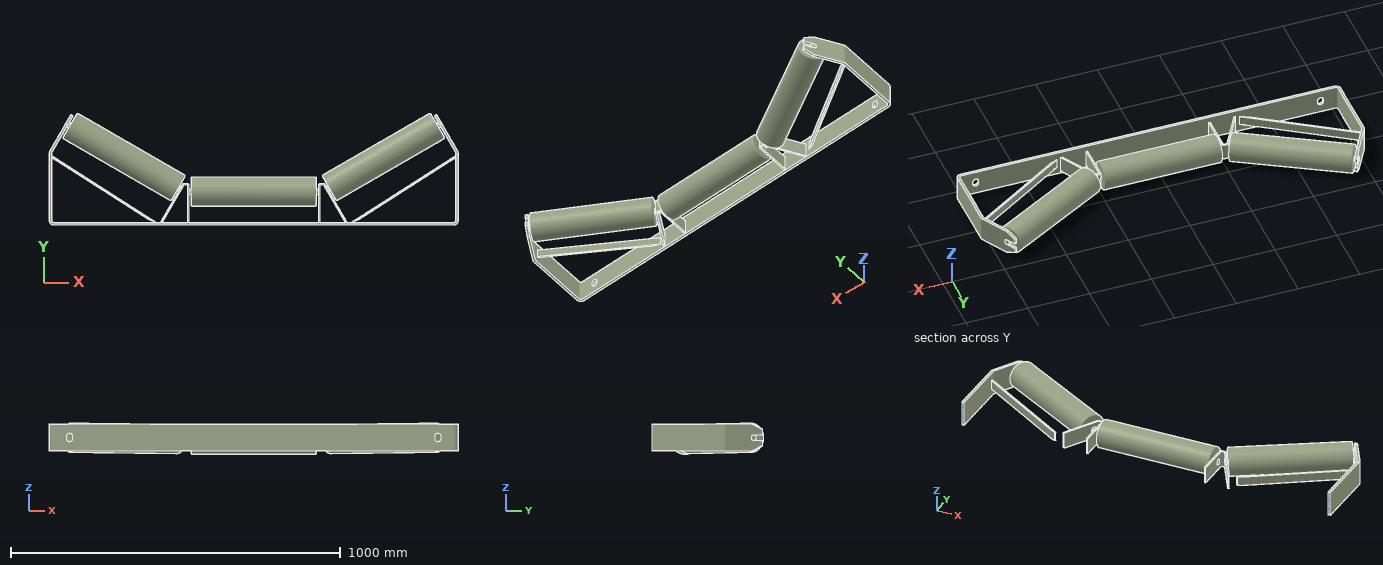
import math

import cadquery as cq

FRAME_LENGTH = 1240.0
FRAME_WIDTH = 80.0
FRAME_THICK = 8.0
FRAME_BEND = 15.0
ARM_BEND = 16.0
WALL_HEIGHT = 222.0
ARM_LENGTH = 131.0
ARM_TAPER_LENGTH = 32.0
ARM_TAPER_WIDTH = 15.0
MOUNT_HOLE_X = 558.0
MOUNT_HOLE_WIDTH = 19.0
MOUNT_HOLE_HEIGHT = 26.0

TILT = 30.0
ROLLER_LENGTH = 380.0
ROLLER_RADIUS = 45.0
ROLLER_EDGE = 4.0
SHAFT_RADIUS = 9.0
CENTER_ROLLER_Y = 102.0
CENTER_ROLLER_Z = -7.0
WING_X = 393.0
WING_Y = 207.0
WING_Z = -2.9
WING_DIP = 0.6
CENTER_GAP = 6.0
INNER_GAP = 5.0

BRACKET_THICK = 5.0
BRACKET_WIDTH = 53.0
BRACKET_BEND = 6.0
BRACKET_TOP = 126.0

BRACE_DROP = 6.0
BRACE_WIDTH = 30.0
BRACE_WALL_Y = 205.0
BRACE_TIP_X = 295.0
BRACE_BEVEL_RUN = 25.0

HALF_LENGTH = FRAME_LENGTH / 2
SIDES = (-1, 1)
COS = math.cos(math.radians(TILT))
SIN = math.sin(math.radians(TILT))
OUTER_GAP = (
    (HALF_LENGTH - WING_X) * COS + (WALL_HEIGHT - WING_Y) * SIN - FRAME_THICK - ROLLER_LENGTH / 2
)


def plate(points, width, z=0.0):
    """Prism centred on height z, standing on an XY outline."""
    return cq.Workplane("XY", origin=(0, 0, z - width / 2)).polyline(points).close().extrude(width)


def turned(radius, start, end):
    """Cylinder on the X axis between two stations."""
    return cq.Workplane("YZ", origin=(start, 0, 0)).circle(radius).extrude(end - start)


def on_wing(body):
    """Move a body from the X axis onto the right-hand wing roller axis (outer end at +X)."""
    dipped = body.rotate((0, 0, 0), (0, 1, 0), -WING_DIP)
    return dipped.rotate((0, 0, 0), (0, 0, 1), TILT).translate((WING_X, WING_Y, WING_Z))


def on_side(body, side):
    """Leave a right-hand body in place or mirror it to the left."""
    return body if side > 0 else body.mirror("YZ")


def make_roller(left_gap, left_plate, right_gap, right_plate):
    """Drum with rounded ends and a shaft that reaches through the plates at both ends."""
    half = ROLLER_LENGTH / 2
    roller = turned(ROLLER_RADIUS, -half, half).edges("%CIRCLE").fillet(ROLLER_EDGE)
    shaft = turned(SHAFT_RADIUS, -half - left_gap - left_plate, half + right_gap + right_plate)
    return roller.union(shaft)


def make_arm_tapers(end_x, end_y):
    """Wedges that cut both corners off the free end of the right-hand arm."""
    half = FRAME_WIDTH / 2
    arm_face = cq.Plane((end_x, end_y, 0), xDir=(SIN, -COS, 0), normal=(COS, SIN, 0))
    upper = (
        cq.Workplane(arm_face)
        .polyline([(0, half), (ARM_TAPER_LENGTH, half), (0, half - ARM_TAPER_WIDTH)])
        .close()
        .extrude(-FRAME_THICK)
    )
    return upper.union(upper.mirror("XY"))


def make_shaft_slot():
    """Round-bottomed slot, open at the free end of the arm, for a shaft on the X axis."""
    arm_inner = ROLLER_LENGTH / 2 + OUTER_GAP
    start = arm_inner - OUTER_GAP / 2
    depth = FRAME_THICK + OUTER_GAP
    bottom = turned(SHAFT_RADIUS, start, start + depth)
    opening = cq.Workplane("XY", origin=(start, 0, 0)).box(
        depth, ARM_LENGTH, 2 * SHAFT_RADIUS, centered=(False, False, True)
    )
    return bottom.union(opening)


def make_frame():
    arm_end_x = HALF_LENGTH - ARM_LENGTH * SIN
    arm_end_y = WALL_HEIGHT + ARM_LENGTH * COS
    inner_x = HALF_LENGTH - FRAME_THICK
    inner_bend_y = WALL_HEIGHT - FRAME_THICK * math.tan(math.radians(TILT / 2))
    right = [
        (HALF_LENGTH, 0),
        (HALF_LENGTH, WALL_HEIGHT),
        (arm_end_x, arm_end_y),
        (arm_end_x - FRAME_THICK * COS, arm_end_y - FRAME_THICK * SIN),
        (inner_x, inner_bend_y),
        (inner_x, FRAME_THICK),
    ]
    left = [(-x, y) for x, y in reversed(right)]
    frame = plate(right + left, FRAME_WIDTH)

    for side in SIDES:
        for x, y, radius in (
            (HALF_LENGTH, 0, FRAME_BEND),
            (HALF_LENGTH, WALL_HEIGHT, ARM_BEND),
            (inner_x, inner_bend_y, ARM_BEND - FRAME_THICK),
            (inner_x, FRAME_THICK, FRAME_BEND - FRAME_THICK),
        ):
            bend = cq.selectors.NearestToPointSelector((side * x, y, 0))
            frame = frame.edges("|Z").edges(bend).fillet(radius)
        frame = frame.cut(on_side(make_arm_tapers(arm_end_x, arm_end_y), side))

    holes = (
        cq.Workplane("XZ")
        .pushPoints([(side * MOUNT_HOLE_X, 0) for side in SIDES])
        .slot2D(MOUNT_HOLE_HEIGHT, MOUNT_HOLE_WIDTH, 90)
        .extrude(-FRAME_THICK)
    )
    frame = frame.cut(holes)

    slot = make_shaft_slot()
    for side in SIDES:
        frame = frame.cut(on_side(on_wing(slot), side))
    return frame


def make_bracket():
    upright_x = ROLLER_LENGTH / 2 + CENTER_GAP
    reach = ROLLER_LENGTH / 2 + INNER_GAP
    face_x = WING_X - reach * COS
    face_y = WING_Y - reach * SIN

    def leg_x(y, back):
        """X of the slanted leg at height y, at depth back behind its roller-side face."""
        return face_x - back / COS - (y - face_y) * SIN / COS

    outline = [
        (upright_x, FRAME_THICK),
        (upright_x, BRACKET_TOP),
        (leg_x(BRACKET_TOP, 0), BRACKET_TOP),
        (leg_x(FRAME_THICK, 0), FRAME_THICK),
        (leg_x(FRAME_THICK, BRACKET_THICK), FRAME_THICK),
        (leg_x(BRACKET_TOP - BRACKET_THICK, BRACKET_THICK), BRACKET_TOP - BRACKET_THICK),
        (upright_x + BRACKET_THICK, BRACKET_TOP - BRACKET_THICK),
        (upright_x + BRACKET_THICK, FRAME_THICK),
    ]
    bracket = plate(outline, BRACKET_WIDTH, CENTER_ROLLER_Z)
    for (x, y), radius in (
        (outline[1], BRACKET_BEND),
        (outline[2], BRACKET_BEND),
        (outline[5], BRACKET_BEND - BRACKET_THICK),
        (outline[6], BRACKET_BEND - BRACKET_THICK),
    ):
        bend = cq.selectors.NearestToPointSelector((x, y, CENTER_ROLLER_Z))
        bracket = bracket.edges("|Z").edges(bend).fillet(radius)
    return bracket


def make_brace():
    wall_x = HALF_LENGTH - FRAME_THICK
    upper_wall_y = BRACE_WALL_Y + BRACE_DROP
    slope = (upper_wall_y - FRAME_THICK) / (wall_x - BRACE_TIP_X)
    outline = [
        (BRACE_TIP_X, FRAME_THICK),
        (wall_x, upper_wall_y),
        (wall_x, BRACE_WALL_Y),
        (BRACE_TIP_X + BRACE_BEVEL_RUN, FRAME_THICK + slope * BRACE_BEVEL_RUN - BRACE_DROP),
    ]
    return plate(outline, BRACE_WIDTH)


center_roller = make_roller(CENTER_GAP, BRACKET_THICK, CENTER_GAP, BRACKET_THICK).translate(
    (0, CENTER_ROLLER_Y, CENTER_ROLLER_Z)
)
wing = on_wing(make_roller(INNER_GAP, BRACKET_THICK, OUTER_GAP, FRAME_THICK))
bracket = make_bracket().cut(center_roller).cut(wing)
wing_rollers = [on_side(wing, side) for side in SIDES]
brackets = [on_side(bracket, side) for side in SIDES]
braces = [on_side(make_brace(), side) for side in SIDES]
frame = make_frame()

parts = [frame, center_roller, *wing_rollers, *brackets, *braces]
result = cq.Compound.makeCompound([solid for part in parts for solid in part.solids().vals()])